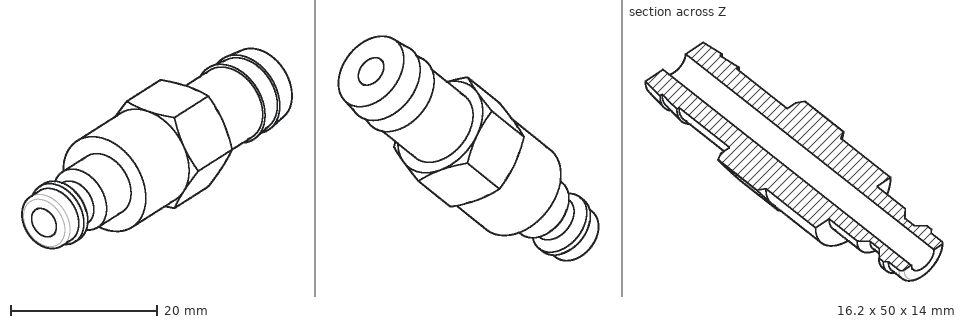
import cadquery as cq
import math

total_length = 50.0
bore_radius = 2.1

plug_radius = 4.5
nose_radius = 4.0
neck_radius = 3.25
nose_fillet = 0.5
nose_length = 2.6
collar_start = nose_length + (plug_radius - nose_radius)
collar_end = 4.0
neck_depth = plug_radius - neck_radius
neck_start = collar_end + neck_depth
neck_end = 7.1
shank_start = neck_end + neck_depth
plug_length = 14.0

hex_across_flats = 14.0
hex_corner_radius = hex_across_flats / math.sqrt(3)
body_radius = hex_across_flats / 2
hex_start = 24.0
hex_length = 9.1
hex_end = hex_start + hex_length
hex_chamfer_angle = 30.0

tail_radius = 5.4
barb_radius = 5.8
barb_length = 3.4
barb_count = 2


def make_plug_and_body():
    """Turned plug with its locking groove, and the round body behind it."""
    arc_inset = nose_fillet * (1 - math.sqrt(0.5))
    return (
        cq.Workplane("XY")
        .lineTo(nose_radius - nose_fillet, 0)
        .threePointArc((nose_radius - arc_inset, arc_inset), (nose_radius, nose_fillet))
        .lineTo(nose_radius, nose_length)
        .lineTo(plug_radius, collar_start)
        .lineTo(plug_radius, collar_end)
        .lineTo(neck_radius, neck_start)
        .lineTo(neck_radius, neck_end)
        .lineTo(plug_radius, shank_start)
        .lineTo(plug_radius, plug_length)
        .lineTo(body_radius, plug_length)
        .lineTo(body_radius, hex_end)
        .lineTo(0, hex_end)
        .close()
        .revolve(360, (0, 0), (0, 1))
    )


def make_hexagon():
    """Hexagon with corners on X, both ends turned down to the flats."""
    prism = (
        cq.Workplane("XZ", origin=(0, hex_start, 0))
        .polygon(6, 2 * hex_corner_radius)
        .extrude(-hex_length)
    )
    corner_drop = (hex_corner_radius - body_radius) * math.tan(math.radians(hex_chamfer_angle))
    turned_envelope = (
        cq.Workplane("XY")
        .moveTo(0, hex_start)
        .lineTo(body_radius, hex_start)
        .lineTo(hex_corner_radius, hex_start + corner_drop)
        .lineTo(hex_corner_radius, hex_end - corner_drop)
        .lineTo(body_radius, hex_end)
        .lineTo(0, hex_end)
        .close()
        .revolve(360, (0, 0), (0, 1))
    )
    return prism.intersect(turned_envelope)


def make_hose_tail():
    """Round tail ending in barbs that narrow towards the open end."""
    barbs_start = total_length - barb_count * barb_length
    profile = (
        cq.Workplane("XY")
        .moveTo(0, hex_start)
        .lineTo(tail_radius, hex_start)
        .lineTo(tail_radius, barbs_start)
    )
    for index in range(barb_count):
        barb_start = barbs_start + index * barb_length
        profile = profile.lineTo(barb_radius, barb_start)
        profile = profile.lineTo(tail_radius, barb_start + barb_length)
    return profile.lineTo(0, total_length).close().revolve(360, (0, 0), (0, 1))


bore = cq.Workplane("XZ").circle(bore_radius).extrude(-total_length)
result = make_plug_and_body().union(make_hexagon()).union(make_hose_tail()).cut(bore)